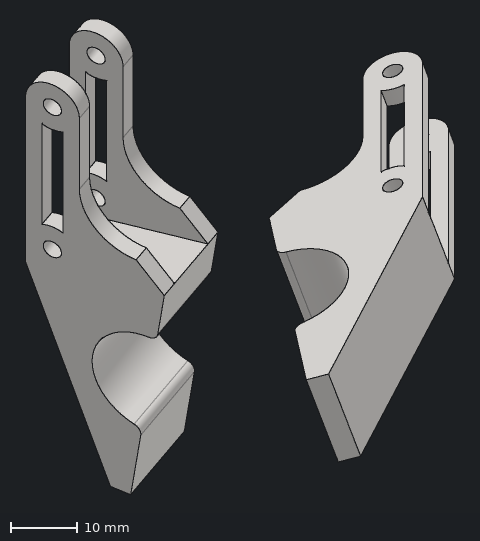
import cadquery as cq
import math

height = 79.75
reach = 24.4
thickness = 16.0

arm_width = 9.5
arm_radius = arm_width / 2
arm_thickness = 3.0
arm_gap = thickness - 2 * arm_thickness

hole_diameter = 3.2
hole_spacing = 30.0
slot_width = 3.7
upper_hole_z = height - arm_radius
lower_hole_z = upper_hole_z - hole_spacing

shoulder_radius = 10.0
shoulder_x = arm_width + shoulder_radius
shoulder_z = 50.1
nose_z = 45.0
heel_z = 40.0
toe_left = 14.9
toe_right = 18.5

recess_radius = 10.0
recess_x = 21.7
recess_z = 24.9
lip_radius = 1.6


def through_cylinder(x, z, radius):
    """Cylinder along Y spanning the full thickness."""
    plane = cq.Workplane("XZ").center(x, z)
    return plane.circle(radius).extrude(thickness / 2, both=True)


def make_body():
    shoulder_mid = (
        shoulder_x - shoulder_radius * math.cos(math.pi / 4),
        shoulder_z + shoulder_radius * (1 - math.sin(math.pi / 4)),
    )
    outline = (
        cq.Workplane("XZ")
        .moveTo(0, heel_z)
        .lineTo(0, upper_hole_z)
        .threePointArc((arm_radius, height), (arm_width, upper_hole_z))
        .lineTo(arm_width, shoulder_z + shoulder_radius)
        .threePointArc(shoulder_mid, (shoulder_x, shoulder_z))
        .lineTo(reach, nose_z)
        .lineTo(toe_right, 0)
        .lineTo(toe_left, 0)
        .close()
    )
    return outline.extrude(thickness / 2, both=True)


def cut_recess(body):
    """Cut the round recess and round the two lips where it meets the front edge."""
    body = body.cut(through_cylinder(recess_x, recess_z, recess_radius))
    lips = cq.selectors.BoxSelector(
        (toe_right, -thickness, recess_z - recess_radius),
        (reach, thickness, recess_z + recess_radius + lip_radius),
    )
    return body.edges("|Y").edges(lips).fillet(lip_radius)


def make_gap():
    """Space between the arms, with a flat floor sloping from heel to nose."""
    gap = (
        cq.Workplane("XZ")
        .polyline([(0, heel_z), (reach, nose_z), (reach, height), (0, height)])
        .close()
    )
    return gap.extrude(arm_gap / 2, both=True)


def make_slot():
    """Slot whose ends are arcs concentric with the two pivot holes."""
    slot = (
        cq.Workplane("XZ")
        .center(arm_radius, (upper_hole_z + lower_hole_z) / 2)
        .rect(slot_width, hole_spacing)
        .extrude(thickness / 2, both=True)
    )
    for z in (upper_hole_z, lower_hole_z):
        slot = slot.cut(through_cylinder(arm_radius, z, arm_radius))
    return slot


result = cut_recess(make_body()).cut(make_gap()).cut(make_slot())
for hole_z in (upper_hole_z, lower_hole_z):
    result = result.cut(through_cylinder(arm_radius, hole_z, hole_diameter / 2))